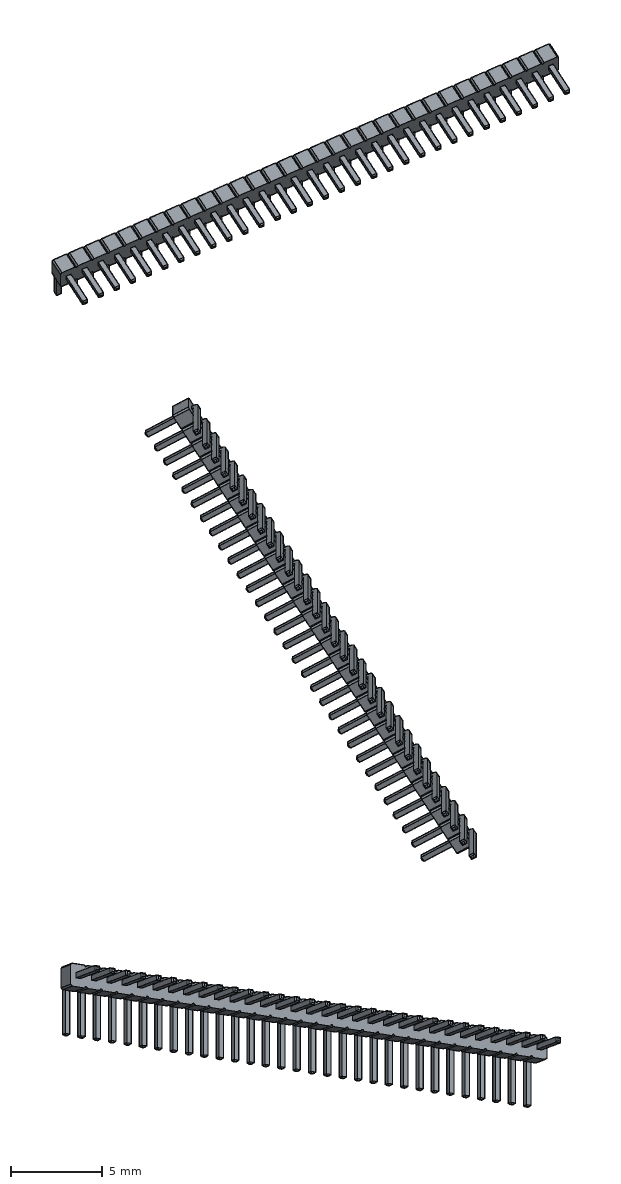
import cadquery as cq

pin_count = 31
header_length = 31.0
total_height = 3.78
body_height = 1.3
body_chamfer = 0.1
pin_thickness = 0.3
leg_gap = 0.1
tip_length = 0.078
tip_inset = 0.078

pitch = header_length / pin_count
body_width = pitch
contact_length = 2 * pitch

half_pin = pin_thickness / 2
leg_inner_x = -body_width / 2 - leg_gap
leg_outer_x = leg_inner_x - pin_thickness
shaft_end_x = body_width / 2 + contact_length - tip_length
shaft_end_z = body_height / 2 - total_height + tip_length
tip_end_size = pin_thickness - 2 * tip_inset


def make_body_segment():
    """One insulator block, with its edges along X bevelled so that neighbours form V grooves."""
    return cq.Workplane("XY").box(body_width, pitch, body_height).edges("|X").chamfer(body_chamfer)


def make_tip(plane):
    """Tapered pin end that narrows along the plane normal."""
    return (
        cq.Workplane(plane)
        .rect(pin_thickness, pin_thickness)
        .workplane(offset=tip_length)
        .rect(tip_end_size, tip_end_size)
        .loft(ruled=True)
    )


def make_pin():
    """Square L-shaped pin: round outer bend, sharp inner bend and a tapered tip at both ends."""
    shaft = (
        cq.Workplane("XZ")
        .moveTo(shaft_end_x, half_pin)
        .lineTo(leg_inner_x, half_pin)
        .radiusArc((leg_outer_x, -half_pin), -pin_thickness)
        .lineTo(leg_outer_x, shaft_end_z)
        .lineTo(leg_inner_x, shaft_end_z)
        .lineTo(leg_inner_x, -half_pin)
        .lineTo(shaft_end_x, -half_pin)
        .close()
        .extrude(half_pin, both=True)
    )
    contact_tip = make_tip(cq.Plane(origin=(shaft_end_x, 0, 0), xDir=(0, 1, 0), normal=(1, 0, 0)))
    leg_center_x = leg_outer_x + half_pin
    leg_tip = make_tip(cq.Plane(origin=(leg_center_x, 0, shaft_end_z), xDir=(1, 0, 0), normal=(0, 0, -1)))
    return shaft.union(contact_tip).union(leg_tip)


segment = make_body_segment().union(make_pin()).val()
first_y = -(pin_count - 1) * pitch / 2
segments = [segment.translate(cq.Vector(0, first_y + i * pitch, 0)) for i in range(pin_count)]
result = cq.Workplane("XY").newObject([segments[0].fuse(*segments[1:]).clean()])